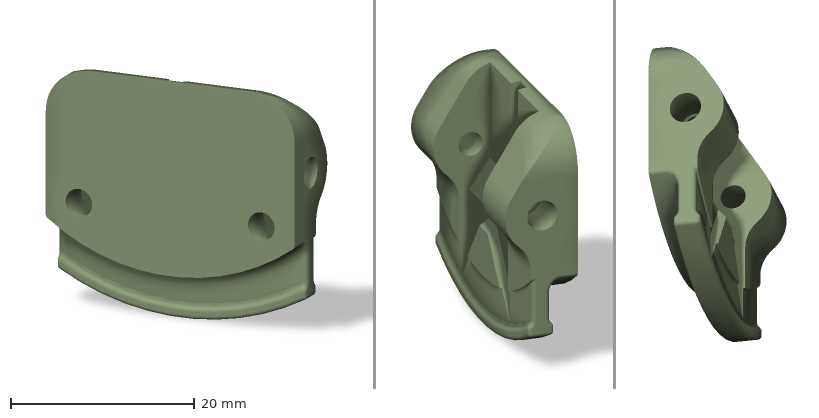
import cadquery as cq
import math

WIDTH = 30.0
HEIGHT = 27.5
HALF_WIDTH = WIDTH / 2
CORNER_RADIUS = 5.0
LIP = 0.5
TOP_ROUND = 5.0
CORNER_DROP = 1.9
CORNER_MID_DROP = 0.55
BODY_DEPTH = 5.5

HINGE_Y, HINGE_Z = 4.15, 18.0
BOSS_RADIUS = 4.3
BOSS_FOOT_RADIUS = 4.0
PIN_HOLE_DIAMETER = 3.5
PIN_SEAT_DIAMETER = 2.8
PIN_SEAT_LENGTH = 2.0
LUG_INNER_X = 7.8

FACE_HOLE_X, FACE_HOLE_Z = 11.0, 12.5
FACE_HOLE_DIAMETER = 3.2
FACE_HOLE_DEPTH = 4.0

ARC_CENTER_Z = 30.5
BODY_ARC_RADIUS = 25.0
RIM_OUTER_RADIUS = ARC_CENTER_Z
RIM_STEP_RADIUS = 29.15
WEB_CENTER_Y = 4.25
WEB_THICKNESS = 2.0
RIM_THICKNESS = 3.0
WEB_FILLET = 1.25
STEP_BLEND = 0.5
STEP_ANGLE = math.pi / 4
EDGE_ROUND = 0.45

RECESS_FRONT_Y = 1.9
RIDGE_FRONT_Y = 4.3
RIDGE_HALF_WIDTH = 7.15
RIDGE_APEX_Z = 12.7
RIDGE_SLOPE = 1.3
FLOOR_SLOPE = 1.42
NOTCH_WIDTH = 2.1
NOTCH_FRONT_Y = 0.83
NOTCH_BACK_Y = 1.74
NOTCH_SLOPE = 1.2

CLEARANCE = 5.0
SELECT_MARGIN = 0.05


def slope_normal():
    """Unit normal (y, z) of the line touching both the top rounding and the boss."""
    dy = HINGE_Y - LIP
    dz = HINGE_Z - (HEIGHT - TOP_ROUND)
    angle = math.atan2(dz, dy) + math.acos((TOP_ROUND - BOSS_RADIUS) / math.hypot(dy, dz))
    return math.cos(angle), math.sin(angle)


def side_profile(x, drop):
    """Closed side outline at station x, with its top lowered by drop."""
    ny, nz = slope_normal()
    half_angle = (math.pi / 2 + math.atan2(nz, ny)) / 2
    radius = TOP_ROUND + drop * nz / (1 - nz)
    top_z = HEIGHT - drop
    arc_z = top_z - radius
    foot_y = BODY_DEPTH + BOSS_FOOT_RADIUS
    reach = BOSS_RADIUS + BOSS_FOOT_RADIUS
    foot_z = HINGE_Z - math.sqrt(reach ** 2 - (foot_y - HINGE_Y) ** 2)
    join_y = HINGE_Y + (foot_y - HINGE_Y) * BOSS_RADIUS / reach
    join_z = HINGE_Z + (foot_z - HINGE_Z) * BOSS_RADIUS / reach
    hollow_angle = (math.pi + math.atan2(HINGE_Z - foot_z, HINGE_Y - foot_y)) / 2
    return (
        cq.Workplane("YZ", origin=(x, 0, 0))
        .moveTo(0, 0)
        .lineTo(0, top_z)
        .lineTo(LIP, top_z)
        .threePointArc(
            (LIP + radius * math.cos(half_angle), arc_z + radius * math.sin(half_angle)),
            (LIP + radius * ny, arc_z + radius * nz),
        )
        .lineTo(HINGE_Y + BOSS_RADIUS * ny, HINGE_Z + BOSS_RADIUS * nz)
        .threePointArc((HINGE_Y + BOSS_RADIUS, HINGE_Z), (join_y, join_z))
        .threePointArc(
            (foot_y + BOSS_FOOT_RADIUS * math.cos(hollow_angle),
             foot_z + BOSS_FOOT_RADIUS * math.sin(hollow_angle)),
            (BODY_DEPTH, foot_z),
        )
        .lineTo(BODY_DEPTH, 0)
        .close()
    )


def make_body():
    """Hinge body: straight middle, falling ends, trimmed to the front outline."""
    straight_x = HALF_WIDTH - CORNER_RADIUS
    body = side_profile(-straight_x, 0).extrude(2 * straight_x)
    inner = side_profile(straight_x, 0).val()
    middle = side_profile(HALF_WIDTH - CORNER_RADIUS / 2, CORNER_MID_DROP).val()
    outer = side_profile(HALF_WIDTH, CORNER_DROP).val()
    end = cq.Workplane(cq.Solid.makeLoft([inner, middle, outer]))
    body = body.union(end).union(end.mirror("YZ"))

    depth = HINGE_Y + BOSS_RADIUS
    outline = (
        cq.Workplane("XZ")
        .rect(WIDTH, 2 * HEIGHT)
        .extrude(-depth)
        .edges("|Y and >Z")
        .fillet(CORNER_RADIUS)
    )
    disc = cq.Workplane("XZ").center(0, ARC_CENTER_Z).circle(BODY_ARC_RADIUS).extrude(-depth)
    return body.intersect(outline).intersect(disc)


def make_web():
    """Curved web with its thicker rim, as a ring clipped to the part width."""
    half_web = WEB_THICKNESS / 2
    half_rim = RIM_THICKNESS / 2
    half_step = (half_rim - half_web) / 2
    inner_r = BODY_ARC_RADIUS - 2 * WEB_FILLET
    web_front = WEB_CENTER_Y - half_web
    fillet_y = web_front - WEB_FILLET
    fillet_r = BODY_ARC_RADIUS + WEB_FILLET
    diagonal = WEB_FILLET * math.sqrt(0.5)

    slope_in = RIM_STEP_RADIUS - half_step
    slope_out = RIM_STEP_RADIUS + half_step
    tangent = STEP_BLEND * math.tan(STEP_ANGLE / 2)
    reach = tangent * math.cos(STEP_ANGLE)
    mid_blend = STEP_BLEND * math.sin(STEP_ANGLE / 2)
    mid_rise = STEP_BLEND * (1 - math.cos(STEP_ANGLE / 2))

    def down(radius):
        return ARC_CENTER_Z - radius

    def front(offset):
        return WEB_CENTER_Y - offset

    def back(offset):
        return WEB_CENTER_Y + offset

    blend_in = slope_in - tangent
    blend_out = slope_out + tangent
    section = (
        cq.Workplane("YZ")
        .moveTo(back(half_web), down(inner_r))
        .lineTo(fillet_y, down(inner_r))
        .lineTo(fillet_y, down(BODY_ARC_RADIUS))
        .threePointArc(
            (fillet_y + diagonal, down(fillet_r - diagonal)),
            (web_front, down(fillet_r)),
        )
        .lineTo(front(half_web), down(blend_in))
        .threePointArc((front(half_web + mid_rise), down(blend_in + mid_blend)),
                       (front(half_web + reach), down(slope_in + reach)))
        .lineTo(front(half_rim - reach), down(slope_out - reach))
        .threePointArc((front(half_rim - mid_rise), down(blend_out - mid_blend)),
                       (front(half_rim), down(blend_out)))
        .lineTo(front(half_rim), down(RIM_OUTER_RADIUS))
        .lineTo(back(half_rim), down(RIM_OUTER_RADIUS))
        .lineTo(back(half_rim), down(blend_out))
        .threePointArc((back(half_rim - mid_rise), down(blend_out - mid_blend)),
                       (back(half_rim - reach), down(slope_out - reach)))
        .lineTo(back(half_web + reach), down(slope_in + reach))
        .threePointArc((back(half_web + mid_rise), down(blend_in + mid_blend)),
                       (back(half_web), down(blend_in)))
        .close()
    )
    ring = section.revolve(360, (0, ARC_CENTER_Z), (1, ARC_CENTER_Z))
    clip = cq.Workplane("XY").box(WIDTH, 4 * BODY_DEPTH, HEIGHT / 2, centered=(True, True, False))
    return ring.intersect(clip)


def round_web_edges(part):
    """Round the ends of web and rim and the two outer edges of the rim."""
    corner_z = ARC_CENTER_Z - math.sqrt(BODY_ARC_RADIUS ** 2 - HALF_WIDTH ** 2)
    zone = cq.selectors.BoxSelector(
        (-WIDTH, -BODY_DEPTH, -CLEARANCE), (WIDTH, 2 * BODY_DEPTH, corner_z + SELECT_MARGIN))
    ends = part.faces("<X or >X").edges(zone)
    rim = part.edges(cq.selectors.RadiusNthSelector(-1))
    return ends.add(rim).fillet(EDGE_ROUND)


def cut_pin_bores(part):
    """Bore both lugs for the hinge pin, narrowing at the inner end of each lug."""
    lug = HALF_WIDTH - LUG_INNER_X
    for side in (-1, 1):
        outside = cq.Vector(side * HALF_WIDTH, HINGE_Y, HINGE_Z)
        inward = cq.Vector(-side, 0, 0)
        wide = cq.Solid.makeCylinder(PIN_HOLE_DIAMETER / 2, lug - PIN_SEAT_LENGTH, outside, inward)
        tight = cq.Solid.makeCylinder(PIN_SEAT_DIAMETER / 2, lug, outside, inward)
        part = part.cut(cq.Workplane(wide)).cut(cq.Workplane(tight))
    return part


def cut_face_holes(part):
    """Two blind holes in the front face."""
    holes = (
        cq.Workplane("XZ")
        .pushPoints([(-FACE_HOLE_X, FACE_HOLE_Z), (FACE_HOLE_X, FACE_HOLE_Z)])
        .circle(FACE_HOLE_DIAMETER / 2)
        .extrude(-FACE_HOLE_DEPTH)
    )
    return part.cut(holes)


def cut_recess(part):
    """Gap between the lugs with its sloped and ridged floor, and the notch in the top edge."""
    back = HINGE_Y + BOSS_RADIUS + CLEARANCE
    top = HEIGHT + CLEARANCE

    def floor_z(y):
        return RIDGE_APEX_Z - FLOOR_SLOPE * (y - RIDGE_FRONT_Y)

    gap = (
        cq.Workplane("YZ", origin=(-LUG_INNER_X, 0, 0))
        .moveTo(RECESS_FRONT_Y, top)
        .lineTo(RECESS_FRONT_Y, floor_z(RECESS_FRONT_Y))
        .lineTo(back, floor_z(back))
        .lineTo(back, top)
        .close()
        .extrude(2 * LUG_INNER_X)
    )

    flank_angle = math.atan(RIDGE_SLOPE)
    flank_z = RIDGE_APEX_Z - RIDGE_SLOPE * RIDGE_HALF_WIDTH
    hollow = (LUG_INNER_X - RIDGE_HALF_WIDTH) / math.sin(flank_angle)
    hollow_z = flank_z + hollow * math.cos(flank_angle)
    middle = (
        LUG_INNER_X - hollow * math.sin(flank_angle / 2),
        hollow_z - hollow * math.cos(flank_angle / 2),
    )
    end = (LUG_INNER_X, hollow_z - hollow)
    flanks = (
        cq.Workplane("XZ", origin=(0, RIDGE_FRONT_Y, 0))
        .moveTo(-LUG_INNER_X, top)
        .lineTo(-end[0], end[1])
        .threePointArc((-middle[0], middle[1]), (-RIDGE_HALF_WIDTH, flank_z))
        .lineTo(0, RIDGE_APEX_Z)
        .lineTo(RIDGE_HALF_WIDTH, flank_z)
        .threePointArc(middle, end)
        .lineTo(LUG_INNER_X, top)
        .close()
        .extrude(-(back - RIDGE_FRONT_Y))
    )

    notch_z = floor_z(NOTCH_BACK_Y)
    notch = (
        cq.Workplane("YZ", origin=(-NOTCH_WIDTH / 2, 0, 0))
        .moveTo(NOTCH_FRONT_Y, top)
        .lineTo(NOTCH_FRONT_Y, notch_z + NOTCH_SLOPE * (NOTCH_BACK_Y - NOTCH_FRONT_Y))
        .lineTo(NOTCH_BACK_Y, notch_z)
        .lineTo(RIDGE_FRONT_Y, RIDGE_APEX_Z)
        .lineTo(RIDGE_FRONT_Y, top)
        .close()
        .extrude(NOTCH_WIDTH)
    )
    return part.cut(gap).cut(flanks).cut(notch)


result = make_body().union(make_web())
result = round_web_edges(result)
result = cut_pin_bores(result)
result = cut_face_holes(result)
result = cut_recess(result)